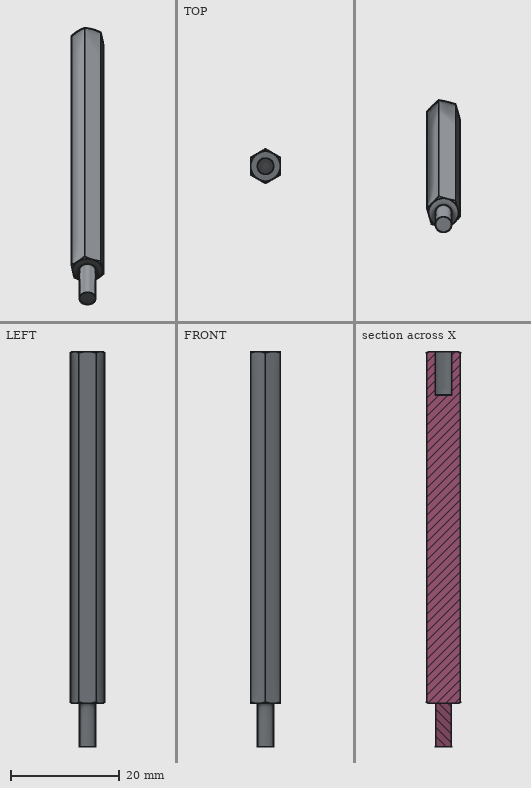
import cadquery as cq
import math

across_flats = 5.5
spacer_length = 65.0
across_corners = across_flats / math.cos(math.radians(30))
corner_bevel_angle = 30.0

thread_diameter = 3.0
stud_length = 8.0
socket_depth = stud_length


def bevel_envelope():
    """Round bar with coned ends that trims the hexagon's corners down to its inscribed circle."""
    end_radius = across_flats / 2
    corner_radius = across_corners / 2
    bevel_height = (corner_radius - end_radius) * math.tan(math.radians(corner_bevel_angle))
    return (
        cq.Workplane("XZ")
        .moveTo(0, 0)
        .lineTo(end_radius, 0)
        .lineTo(corner_radius, bevel_height)
        .lineTo(corner_radius, spacer_length - bevel_height)
        .lineTo(end_radius, spacer_length)
        .lineTo(0, spacer_length)
        .close()
        .revolve(360, (0, 0, 0), (0, 1, 0))
    )


def make_spacer():
    """Hexagonal bar with corners on the Y axis, bevelled ends and a blind socket in the top."""
    hexagon = (
        cq.Workplane("XY")
        .transformed(rotate=(0, 0, 90))
        .polygon(6, across_corners)
        .extrude(spacer_length)
    )
    socket = (
        cq.Workplane("XY")
        .workplane(offset=spacer_length - socket_depth)
        .circle(thread_diameter / 2)
        .extrude(socket_depth)
    )
    return hexagon.intersect(bevel_envelope()).cut(socket)


def make_stud():
    """Plain stud that hangs from the spacer's lower end face."""
    return cq.Workplane("XY").circle(thread_diameter / 2).extrude(-stud_length)


spacer = make_spacer()
stud = make_stud()

result = cq.Compound.makeCompound([spacer.val(), stud.val()])